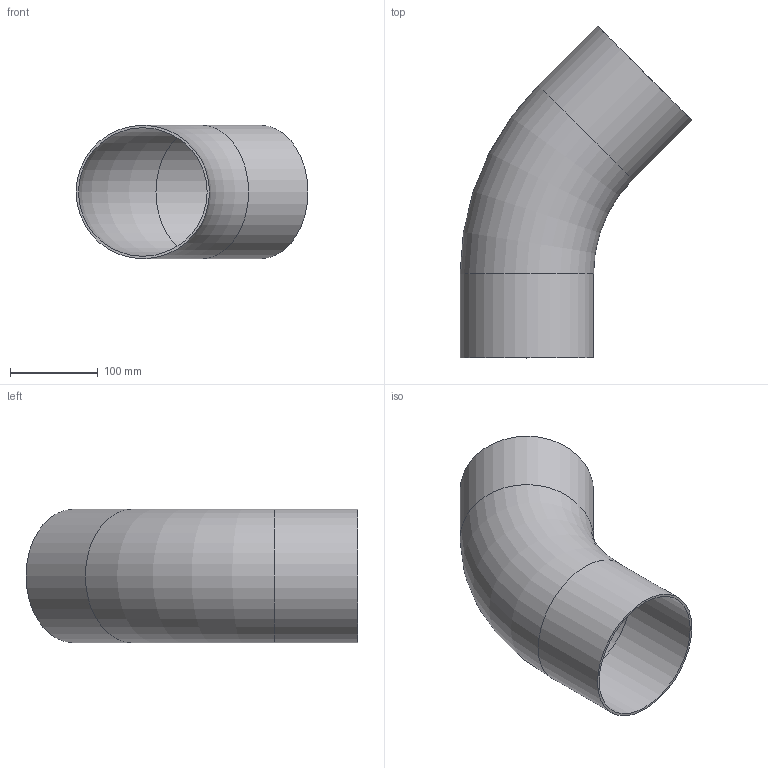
import cadquery as cq
import math

outer_diameter = 152.4
inner_diameter = 146.86
bend_radius = 1.5 * outer_diameter
bend_angle = 45.0
tangent_length = 95.8


def point_on_bend(angle_degrees):
    """Centerline point after turning through the given angle."""
    angle = math.radians(angle_degrees)
    x = bend_radius * (1 - math.cos(angle))
    y = tangent_length + bend_radius * math.sin(angle)
    return x, y


bend_start = point_on_bend(0)
bend_middle = point_on_bend(bend_angle / 2)
bend_end = point_on_bend(bend_angle)
outlet_center = (
    bend_end[0] + tangent_length * math.sin(math.radians(bend_angle)),
    bend_end[1] + tangent_length * math.cos(math.radians(bend_angle)),
)
centerline = (
    cq.Workplane("XY")
    .moveTo(0, 0)
    .lineTo(*bend_start)
    .threePointArc(bend_middle, bend_end)
    .lineTo(*outlet_center)
)

result = (
    cq.Workplane("XZ")
    .circle(outer_diameter / 2)
    .circle(inner_diameter / 2)
    .sweep(centerline)
)